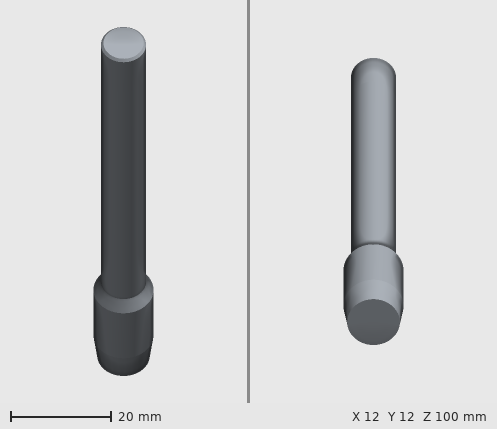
import cadquery as cq

total_length = 100.0

head_radius = 12.0 / 2
head_length = 21.0
lead_length = 6.6
lead_tip_radius = 10.5 / 2

shank_radius = 9.0 / 2
shoulder_height = 2.7
drive_length = 10.0
end_chamfer = 0.5


def revolve_profile(points):
    """Revolve a closed (radius, height) outline about the Z axis."""
    return cq.Workplane("XZ").polyline(points).close().revolve(360, (0, 0, 0), (0, 1, 0))


def make_cutting_head():
    """Cylinder with a tapered lead at its lower end."""
    return revolve_profile([
        (0, 0),
        (lead_tip_radius, 0),
        (head_radius, lead_length),
        (head_radius, head_length),
        (0, head_length),
    ])


def make_shank():
    """Shoulder cone and long shank, keeping the edge where the drive end starts."""
    drive_start = total_length - drive_length
    neck = revolve_profile([
        (0, head_length),
        (head_radius, head_length),
        (shank_radius, head_length + shoulder_height),
        (shank_radius, drive_start),
        (0, drive_start),
    ])
    drive_end = (
        cq.Workplane("XY", origin=(0, 0, drive_start))
        .circle(shank_radius)
        .extrude(drive_length)
        .faces(">Z")
        .chamfer(end_chamfer)
    )
    return neck.union(drive_end, clean=False)


cutting_head = make_cutting_head()
shank = make_shank()

result = cq.Compound.makeCompound([cutting_head.val(), shank.val()])